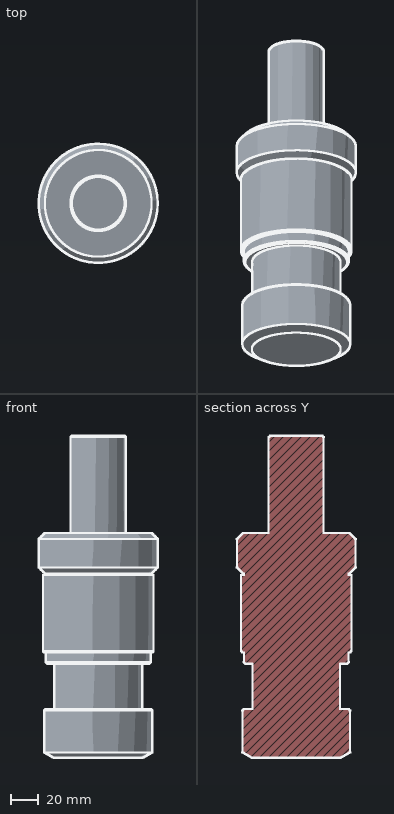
import cadquery as cq
import math

total_height = 232.3
rod_length = 70.0
flange_top = total_height - rod_length

rod_diameter = 40.0
rod_chamfer = 1.0

flange_diameter = 86.0
flange_bevel = 4.5
flange_rim_bottom = 137.4
flange_bottom = flange_rim_bottom - flange_bevel

body_diameter = 80.0
body_top = 132.0
body_bottom = 76.0
body_chamfer = 1.0

ring_diameter = 75.92
ring_bottom = 67.8
ring_chamfer = 1.2
neck_diameter = ring_diameter

column_diameter = 63.82

foot_diameter = 78.0
foot_height = 35.3
foot_chamfer = 1.0
foot_bevel_height = 4.0
foot_bevel_angle = 30.0
foot_bevel_width = foot_bevel_height / math.tan(math.radians(foot_bevel_angle))


def cylinder(diameter, bottom, top):
    """Cylinder on the Z axis between two heights."""
    base = cq.Workplane("XY").workplane(offset=bottom)
    return base.circle(diameter / 2).extrude(top - bottom)


def make_foot():
    foot = cylinder(foot_diameter, 0, foot_height)
    foot = foot.faces(">Z").chamfer(foot_chamfer)
    return foot.faces("<Z").chamfer(foot_bevel_height, foot_bevel_width)


def make_column():
    return cylinder(column_diameter, foot_height, ring_bottom)


def make_ring():
    ring = cylinder(ring_diameter, ring_bottom, body_bottom)
    return ring.faces("<Z").chamfer(ring_chamfer)


def make_body():
    body = cylinder(body_diameter, body_bottom, body_top)
    return body.faces("<Z").chamfer(body_chamfer)


def make_neck():
    return cylinder(neck_diameter, body_top, flange_bottom)


def make_flange():
    flange = cylinder(flange_diameter, flange_bottom, flange_top)
    return flange.faces("<Z or >Z").chamfer(flange_bevel)


def make_rod():
    rod = cylinder(rod_diameter, flange_top, total_height)
    return rod.faces(">Z").chamfer(rod_chamfer)


result = make_foot()
for section in (make_column(), make_ring(), make_body(), make_neck(), make_flange(), make_rod()):
    result = result.union(section)